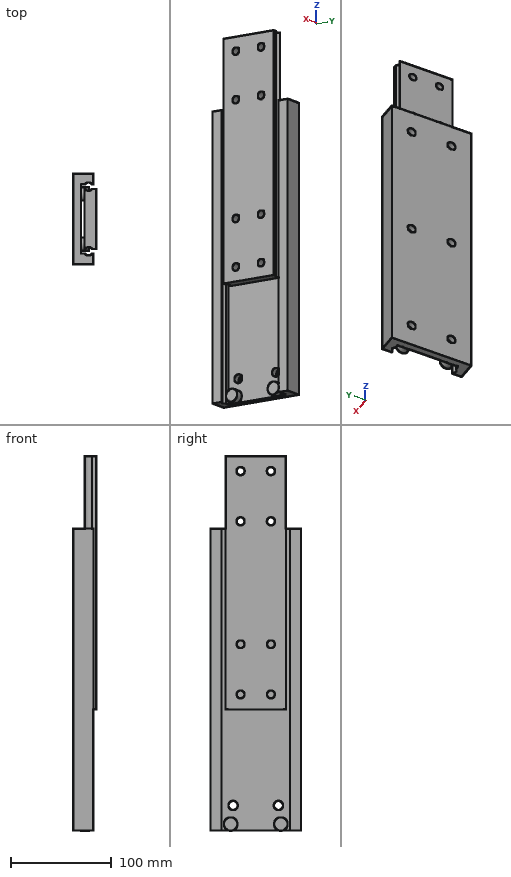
import cadquery as cq

total_height = 372.5
total_depth = 23.0

housing_width = 90.0
housing_depth = 20.0
housing_length = 300.0
web_thickness = 8.0
flange_thickness = 10.8
cavity_half_width = housing_width / 2 - flange_thickness

bar_width = 60.0
bar_length = 251.7
bar_back_x = 11.0
bar_thickness = total_depth - bar_back_x
bar_bottom_z = total_height - bar_length

race_x = 15.3
race_radius = 4.0
race_y = (cavity_half_width + bar_width / 2) / 2

stop_radius = 6.7
stop_y = 25.0
stop_end_x = 16.0
stop_overhang = 0.25
housing_bottom_z = stop_overhang
housing_middle_z = housing_bottom_z + housing_length / 2

housing_hole_diameter = 9.0
housing_hole_spacing_y = 45.0
housing_hole_pitch_z = 125.0
housing_hole_rows = 3
bar_hole_diameter = 8.0
bar_hole_spacing_y = 30.0
bar_hole_end_margin = 15.0
bar_hole_pitch_z = 50.0


def box(x_min, depth, width, z_min, length):
    """Block centred on Y = 0."""
    return (
        cq.Workplane("XY", origin=(x_min, 0, z_min))
        .rect(depth, width)
        .extrude(length)
        .translate((depth / 2, 0, 0))
    )


def rods_along_x(places, diameter, x_min, x_max):
    """Cylinders along X at the given (Y, Z) places."""
    return (
        cq.Workplane("YZ", origin=(x_min, 0, 0))
        .pushPoints(places)
        .circle(diameter / 2)
        .extrude(x_max - x_min)
    )


def ball_races():
    """Two full-height rods that carve the matching grooves in both bodies."""
    return (
        cq.Workplane("XY")
        .pushPoints([(race_x, -race_y), (race_x, race_y)])
        .circle(race_radius)
        .extrude(total_height)
    )


def hole_places(spacing_y, heights):
    """(Y, Z) places of a pair of holes at each height."""
    return [(side * spacing_y / 2, z) for z in heights for side in (-1, 1)]


def make_housing():
    channel = box(0, housing_depth, housing_width, housing_bottom_z, housing_length)
    cavity = box(web_thickness, housing_depth, 2 * cavity_half_width, housing_bottom_z, housing_length)
    hole_heights = [
        housing_middle_z + (row - (housing_hole_rows - 1) / 2) * housing_hole_pitch_z
        for row in range(housing_hole_rows)
    ]
    holes = rods_along_x(
        hole_places(housing_hole_spacing_y, hole_heights), housing_hole_diameter, 0, web_thickness
    )
    stops = rods_along_x(
        hole_places(2 * stop_y, [stop_radius]), 2 * stop_radius, web_thickness, stop_end_x
    )
    return channel.cut(cavity).cut(ball_races()).cut(holes).union(stops)


def make_slide_bar():
    bar = box(bar_back_x, bar_thickness, bar_width, bar_bottom_z, bar_length)
    hole_heights = []
    for inset in (bar_hole_end_margin, bar_hole_end_margin + bar_hole_pitch_z):
        hole_heights += [bar_bottom_z + inset, total_height - inset]
    holes = rods_along_x(
        hole_places(bar_hole_spacing_y, hole_heights), bar_hole_diameter, bar_back_x, total_depth
    )
    return bar.cut(ball_races()).cut(holes)


housing = make_housing()
slide_bar = make_slide_bar()

result = cq.Compound.makeCompound([housing.val(), slide_bar.val()])